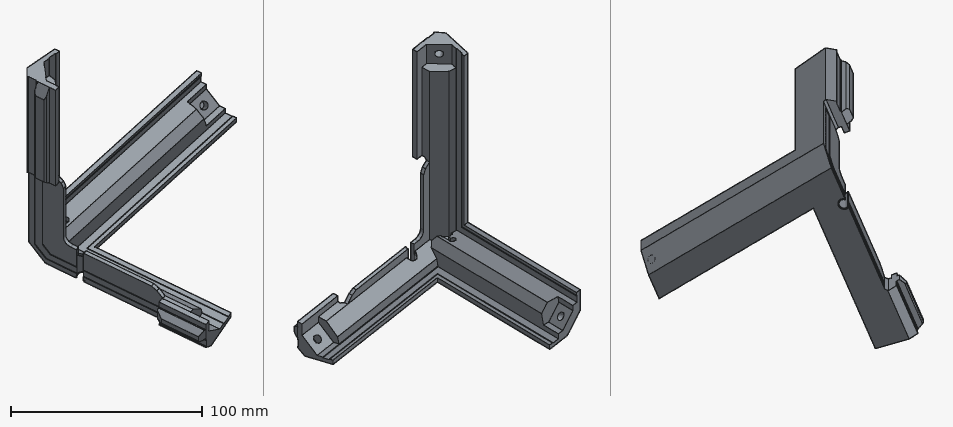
import cadquery as cq
import math


Z_ARM_LENGTH = 147.0
X_ARM_LENGTH = 114.5
DEPTH = 125.3
LEAN = math.tan(math.radians(14.4))

SIDE_Y = 9.0
FRONT_Y = 4.0
BACK_Y = 28.1
FRONT_WALL = 3.1
CHAMFER_ACROSS = 3.2
FRONT_REACH = 21.2
WALL = 3.1
LIP_LENGTH = 2.5
RELIEF_DEPTH = 0.5
WEB_SIDE_Y = 17.3
WEB_FRONT_ACROSS = 13.4

INFILL_SIDE_Y = 21.2
INFILL_SIDE_HEIGHT = 4.7
INFILL_REACH = 17.2
INFILL_FRONT_Y = 12.4
END_POCKET = 13.4

SET_BACK_Y = 10.1
STEP_CHAMFER = 1.5
Z_ARM_STEP = 72.5
X_ARM_STEP = 85.4
GROOVE_DEPTH = 0.37
GROOVE_START = 4.0
GROOVE_END = 8.8

PLATE_REACH_X = 22.0
PLATE_REACH_Z = 22.5
PLATE_CORNER_RADIUS = 4.5
PLATE_Z_END = 70.9
PLATE_X_END = 83.8
PLATE_Z_CUT = (20.6, 68.5)
PLATE_Z_CUT_START = 65.3
PLATE_X_CUT = (80.1, 20.9)
PLATE_X_CUT_START = 76.7

TONGUE_START = 9.9
TONGUE_END = 17.2

LEAN_REACH = 24.8
LEAN_BEVEL = 10.5
LEAN_INFILL = 17.8
LEAN_INFILL_BEVEL = 4.7
LEAN_POCKET_FLOOR = 6.0
LEAN_POCKET_TOP = 14.3
LEAN_POCKET_START = 132.0

PILOT_DIAMETER = 4.5
PILOT_DEPTH = 5.9
PILOT_FROM_END = 6.5
LEAN_PILOT_Y = 119.1
WIRE_X = 32.2
WIRE_Y = 11.9
WIRE_DIAMETER = 4.9
WIRE_SLOT = 4.0
WIRE_TOP_RELIEF = 0.9
WIRE_TOP_DEPTH = 1.5
WIRE_BOTTOM_RELIEF = 0.6
CHANNEL_X = 13.7
CHANNEL_Y = 25.0
CHANNEL_DIAMETER = 3.5
CHANNEL_BRANCH_WIDTH = 3.5
CHANNEL_BRANCH_LENGTH = 4.4
CHANNEL_BRANCH_Y = 19.5
CHANNEL_LENGTH = 8.8
CHANNEL_FLOOR = 19.1

MARGIN = 7.4


def side_face(y):
    """Position across the arm of the outer side face at depth y."""
    return LEAN * (y - SIDE_Y)


def swap_x_z(body):
    return body.mirror(cq.Vector(1, 0, -1))


def prism_along_x(points, start, end):
    return cq.Workplane("YZ", origin=(start, 0, 0)).polyline(points).close().extrude(end - start)


def prism_along_y(points, start, end):
    return cq.Workplane("XZ", origin=(0, start, 0)).polyline(points).close().extrude(start - end)


def prism_along_z(points, start, end):
    return cq.Workplane("XY", origin=(0, 0, start)).polyline(points).close().extrude(end - start)


def leaning_prism(points, start, end):
    """Extrude a section, given as x and z offsets from the outer faces, along the leaning arm."""
    shift = side_face(start)
    wire = cq.Wire.makePolygon([cq.Vector(x + shift, start, z + shift) for x, z in points], close=True)
    run = end - start
    return cq.Workplane(cq.Solid.extrudeLinear(wire, [], cq.Vector(LEAN * run, run, LEAN * run)))


def with_mirror(points):
    """Complete an outline that is symmetric about x = z from its upper half."""
    return points + [(z, x) for x, z in reversed(points)]


WEB_SIDE = (side_face(WEB_SIDE_Y) + WALL, WEB_SIDE_Y)
WEB_FRONT = (WEB_FRONT_ACROSS, FRONT_Y + FRONT_WALL)
INFILL_SIDE = (side_face(INFILL_SIDE_Y) + WALL - RELIEF_DEPTH, INFILL_SIDE_Y)
INFILL_TOP = (INFILL_SIDE[0] + INFILL_SIDE_HEIGHT, INFILL_SIDE_Y - LEAN * INFILL_SIDE_HEIGHT)
INFILL_FRONT = (INFILL_REACH, INFILL_FRONT_Y)


def arm_walls(length):
    section = [
        (side_face(BACK_Y), BACK_Y),
        (0, SIDE_Y),
        (CHAMFER_ACROSS, FRONT_Y),
        (FRONT_REACH, FRONT_Y),
        (FRONT_REACH, FRONT_Y + FRONT_WALL),
        WEB_FRONT,
        WEB_SIDE,
        (side_face(BACK_Y) + WALL, BACK_Y),
    ]
    return prism_along_z(section, 0, length)


def arm_wall_relief(length):
    """Shallow recess in the side wall, clear of the corner."""
    lip_y = BACK_Y - LIP_LENGTH
    section = [
        INFILL_SIDE,
        (side_face(lip_y) + WALL - RELIEF_DEPTH, lip_y),
        (side_face(lip_y) + WALL, lip_y),
        (side_face(INFILL_SIDE_Y) + WALL, INFILL_SIDE_Y),
    ]
    return prism_along_z(section, LEAN_INFILL, length)


def arm_infill(length):
    section = [
        WEB_SIDE,
        INFILL_SIDE,
        INFILL_TOP,
        INFILL_FRONT,
        (INFILL_REACH, WEB_FRONT[1]),
        WEB_FRONT,
    ]
    return prism_along_z(section, 0, length - END_POCKET)


def arm_pilot_hole(length):
    """Blind hole square to the web, centred across the web in the end pocket."""
    along_across = WEB_FRONT[0] - WEB_SIDE[0]
    along_y = WEB_FRONT[1] - WEB_SIDE[1]
    middle = (WEB_SIDE[0] + along_across / 2, WEB_SIDE[1] + along_y / 2, length - PILOT_FROM_END)
    into_web = cq.Plane(origin=middle, xDir=(0, 0, 1), normal=(along_y, -along_across, 0))
    return cq.Workplane(into_web).circle(PILOT_DIAMETER / 2).extrude(PILOT_DEPTH)


def set_back(step):
    """Space in front of the arm from the corner up to the chamfered step."""
    outline = [
        (-MARGIN, -MARGIN),
        (SET_BACK_Y, -MARGIN),
        (SET_BACK_Y, step - STEP_CHAMFER),
        (SET_BACK_Y - STEP_CHAMFER, step),
        (-MARGIN, step),
    ]
    return prism_along_x(outline, -MARGIN, FRONT_REACH + MARGIN)


def edge_arm(length, step, tongue_section, tongue_outline):
    """Walls, relief and infill of an arm standing along Z.

    The infill is separate so that the reliefs of all arms can be cut before it is added.
    """
    groove = cq.Workplane("XY").box(
        GROOVE_END - GROOVE_START, GROOVE_DEPTH, length - step, centered=False
    ).translate((GROOVE_START, FRONT_Y, step))
    tongue = prism_along_z(tongue_section, step, length)
    tongue = tongue.intersect(prism_along_x(tongue_outline, 0, FRONT_REACH))
    gap = set_back(step)
    hole = arm_pilot_hole(length)
    walls = arm_walls(length).cut(gap).cut(groove).union(tongue).cut(hole)
    return walls, arm_wall_relief(length), arm_infill(length).cut(gap)


def z_arm():
    bevel = 1.3
    section = [
        (TONGUE_START, FRONT_Y + GROOVE_DEPTH),
        (TONGUE_START, bevel),
        (TONGUE_START + bevel, 0),
        (TONGUE_END - bevel / 2, 0),
        (TONGUE_END, bevel),
        (TONGUE_END, FRONT_Y + GROOVE_DEPTH),
    ]
    lower_run = 4.0
    upper_run = 6.6
    outline = [
        (FRONT_Y + GROOVE_DEPTH, Z_ARM_STEP),
        (FRONT_Y, Z_ARM_STEP),
        (0, Z_ARM_STEP + lower_run),
        (0, Z_ARM_LENGTH - upper_run),
        (FRONT_Y, Z_ARM_LENGTH),
        (FRONT_Y + GROOVE_DEPTH, Z_ARM_LENGTH),
    ]
    return edge_arm(Z_ARM_LENGTH, Z_ARM_STEP, section, outline)


def x_arm():
    small_bevel = 0.7
    large_bevel = 3.1
    shoulder_y = 3.2
    section = [
        (TONGUE_START, FRONT_Y + GROOVE_DEPTH),
        (TONGUE_START, small_bevel),
        (TONGUE_START + small_bevel, 0),
        (TONGUE_END - large_bevel, 0),
        (TONGUE_END, shoulder_y),
        (TONGUE_END, FRONT_Y + GROOVE_DEPTH),
    ]
    inner_run = 4.0
    inner_edge_y = 2.4
    outer_run = 2.0
    outline = [
        (FRONT_Y + GROOVE_DEPTH, X_ARM_STEP),
        (inner_edge_y, X_ARM_STEP),
        (0, X_ARM_STEP + inner_run),
        (0, X_ARM_LENGTH - outer_run),
        (FRONT_Y, X_ARM_LENGTH),
        (FRONT_Y + GROOVE_DEPTH, X_ARM_LENGTH),
    ]
    return [swap_x_z(body) for body in edge_arm(X_ARM_LENGTH, X_ARM_STEP, section, outline)]


def corner_plate():
    outline = [
        (0, 0),
        (PLATE_X_END, 0),
        (PLATE_X_END, INFILL_REACH),
        PLATE_X_CUT,
        (PLATE_X_CUT_START, PLATE_REACH_Z),
        (PLATE_REACH_X, PLATE_REACH_Z),
        (PLATE_REACH_X, PLATE_Z_CUT_START),
        PLATE_Z_CUT,
        (INFILL_REACH, PLATE_Z_END),
        (0, PLATE_Z_END),
    ]
    plate = prism_along_y(outline, SET_BACK_Y, INFILL_FRONT_Y)
    reach = PLATE_CORNER_RADIUS / 2
    inner_corner = cq.selectors.BoxSelector(
        (PLATE_REACH_X - reach, 0, PLATE_REACH_Z - reach),
        (PLATE_REACH_X + reach, BACK_Y, PLATE_REACH_Z + reach),
    )
    return plate.edges(inner_corner).fillet(PLATE_CORNER_RADIUS)


def corner_groove():
    outer_bevel = 7.2
    inner_bevel = 5.0
    outline = [
        (GROOVE_START, PLATE_Z_END),
        (GROOVE_START, GROOVE_START + outer_bevel),
        (GROOVE_START + outer_bevel, GROOVE_START),
        (PLATE_X_END, GROOVE_START),
        (PLATE_X_END, GROOVE_END),
        (GROOVE_END + inner_bevel, GROOVE_END),
        (GROOVE_END, GROOVE_END + inner_bevel),
        (GROOVE_END, PLATE_Z_END),
    ]
    return prism_along_y(outline, SET_BACK_Y, SET_BACK_Y + GROOVE_DEPTH)


def leaning_walls():
    section = [
        (0, LEAN_BEVEL),
        (0, LEAN_REACH),
        (WALL, LEAN_REACH),
        (WALL, LEAN_BEVEL),
    ]
    return leaning_prism(with_mirror(section), SET_BACK_Y, DEPTH)


def leaning_wall_relief():
    lip_start = LEAN_REACH - LIP_LENGTH
    section = [
        (WALL - RELIEF_DEPTH, LEAN_INFILL),
        (WALL - RELIEF_DEPTH, lip_start),
        (WALL, lip_start),
        (WALL, LEAN_INFILL),
    ]
    upper = leaning_prism(section, INFILL_SIDE_Y, DEPTH)
    return upper.union(swap_x_z(upper))


def leaning_infill():
    section = [
        (0, LEAN_BEVEL),
        (0, LEAN_INFILL),
        (LEAN_INFILL - LEAN_INFILL_BEVEL, LEAN_INFILL),
    ]
    infill = leaning_prism(with_mirror(section), SET_BACK_Y, DEPTH)

    pocket_section = [
        (LEAN_POCKET_FLOOR, LEAN_POCKET_TOP),
        (LEAN_POCKET_FLOOR, LEAN_REACH),
        (LEAN_REACH, LEAN_REACH),
        (LEAN_REACH, LEAN_POCKET_FLOOR),
        (LEAN_POCKET_TOP, LEAN_POCKET_FLOOR),
    ]
    axis = cq.Vector(LEAN, 1, LEAN)
    end_wall = cq.Plane(origin=axis * (LEAN_POCKET_START / axis.dot(axis)), normal=axis)
    beyond_wall = cq.Workplane(end_wall).rect(2 * DEPTH, 2 * DEPTH).extrude(DEPTH)
    pocket = leaning_prism(pocket_section, SET_BACK_Y, DEPTH + MARGIN).intersect(beyond_wall)

    hole_offset = (LEAN_POCKET_FLOOR + LEAN_POCKET_TOP) / 2 + side_face(LEAN_PILOT_Y)
    into_floor = cq.Plane(
        origin=(hole_offset, LEAN_PILOT_Y, hole_offset), xDir=(1, 0, -1), normal=(-1, 2 * LEAN, -1)
    )
    hole = cq.Workplane(into_floor).circle(PILOT_DIAMETER / 2).extrude(PILOT_DEPTH)
    return infill.cut(pocket).cut(channel()), hole


def outer_envelope():
    """Space inside the side, bottom and bevel planes that all three arms share."""
    section = [
        (0, LEAN_BEVEL),
        (0, 2 * Z_ARM_LENGTH),
        (2 * X_ARM_LENGTH, 2 * Z_ARM_LENGTH),
        (2 * X_ARM_LENGTH, 0),
        (LEAN_BEVEL, 0),
    ]
    return leaning_prism(section, -MARGIN, DEPTH + MARGIN)


def keyhole(widening):
    """Upright round hole, alone and joined by a narrower slot open to the front."""
    height = PLATE_REACH_Z + 2 * MARGIN
    slot_width = WIRE_SLOT + 2 * widening
    base = cq.Workplane("XY", origin=(WIRE_X, WIRE_Y, -MARGIN))
    hole = base.circle(WIRE_DIAMETER / 2 + widening).extrude(height)
    slot = base.center(0, -WIRE_Y / 2).rect(slot_width, WIRE_Y).extrude(height)
    return hole, hole.union(slot)


def wire_passage():
    """Keyhole through the X arm, relieved on the infill slope and along the bottom face."""
    passage = keyhole(0)[1]
    wide_hole = keyhole(WIRE_TOP_RELIEF)[0]
    wide_keyhole = keyhole(WIRE_BOTTOM_RELIEF)[1]
    slope_zone = [
        (INFILL_FRONT_Y, INFILL_REACH - WIRE_TOP_DEPTH),
        (INFILL_TOP[1], INFILL_TOP[0] - WIRE_TOP_DEPTH),
        (INFILL_TOP[1], INFILL_REACH + MARGIN),
        (INFILL_FRONT_Y, INFILL_REACH + MARGIN),
    ]
    bottom_zone = [
        (0, side_face(0) + WIRE_BOTTOM_RELIEF),
        (BACK_Y, side_face(BACK_Y) + WIRE_BOTTOM_RELIEF),
        (BACK_Y, -MARGIN),
        (0, -MARGIN),
    ]
    slope_relief = wide_hole.intersect(prism_along_x(slope_zone, 0, 2 * WIRE_X))
    bottom_relief = wide_keyhole.intersect(prism_along_x(bottom_zone, 0, 2 * WIRE_X))
    return passage.union(slope_relief).union(bottom_relief)


def channel():
    """Flat-bottomed channel in the leaning infill: a round end, a run and a side branch."""
    base = cq.Workplane("XY", origin=(CHANNEL_X, CHANNEL_Y, CHANNEL_FLOOR))
    radius = CHANNEL_DIAMETER / 2
    round_end = base.circle(radius).extrude(MARGIN)
    run_shift = LEAN * CHANNEL_LENGTH
    run = [
        (CHANNEL_X, CHANNEL_Y),
        (CHANNEL_X + radius, CHANNEL_Y),
        (CHANNEL_X + radius - run_shift, CHANNEL_Y - CHANNEL_LENGTH),
        (CHANNEL_X - run_shift, CHANNEL_Y - CHANNEL_LENGTH),
    ]
    branch = cq.Workplane("XY").box(
        CHANNEL_BRANCH_LENGTH, CHANNEL_BRANCH_WIDTH, MARGIN, centered=(False, True, False)
    ).translate((CHANNEL_X - CHANNEL_BRANCH_LENGTH, CHANNEL_BRANCH_Y, CHANNEL_FLOOR))
    return round_end.union(prism_along_z(run, CHANNEL_FLOOR, CHANNEL_FLOOR + MARGIN)).union(branch)


z_walls, z_relief, z_infill = z_arm()
x_walls, x_relief, x_infill = x_arm()
lean_infill, lean_hole = leaning_infill()

bracket = z_walls.union(x_walls).union(leaning_walls())
bracket = bracket.cut(z_relief).cut(x_relief).cut(leaning_wall_relief())
bracket = bracket.union(lean_infill).union(z_infill).union(x_infill).union(corner_plate())
bracket = bracket.intersect(outer_envelope())
result = bracket.cut(lean_hole).cut(corner_groove()).cut(wire_passage())